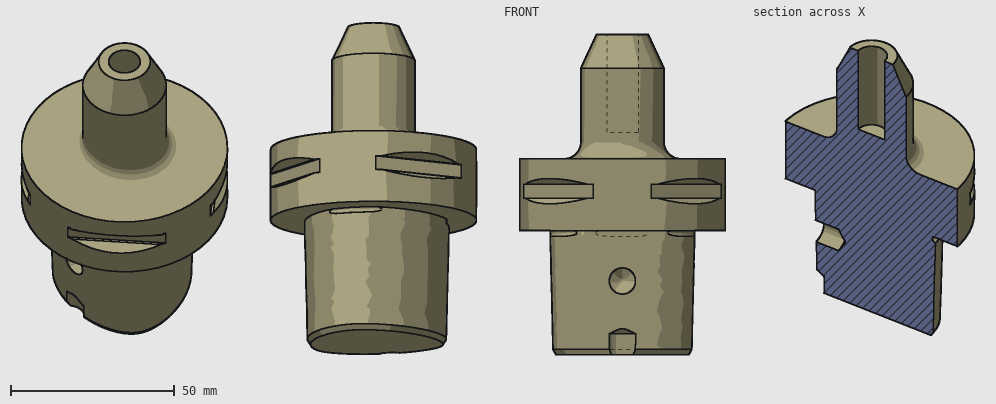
import cadquery as cq
import math

flange_diameter = 63.0
flange_height = 22.0
flange_radius = flange_diameter / 2

nose_diameter = 25.5
nose_length = 38.0
nose_tip_diameter = 15.8
nose_cone_length = 10.4
nose_root_radius = 5.0
bore_diameter = 9.6
bore_depth = 30.0

groove_count = 4
groove_first_angle = 45.0
groove_floor_distance = 27.65
groove_floor_width = 4.2
groove_straight_depth = 0.8
groove_center_height = 12.05
groove_wall_angle = 30.0
groove_overshoot = 5.0

shank_length = 38.0
shank_mean_radius = 22.1
lobe_height = 1.42
lobe_count = 3
neck_length = 3.0
taper_per_side = 1 / 40
end_chamfer_height = 1.7
end_chamfer_width = 1.0

relief_arc_radius = 1.1
relief_arc_depth = 0.65
relief_floor_radius = 22.3
relief_clearance = 0.5
relief_outer_radius = shank_mean_radius + lobe_height + relief_clearance

drill_tip_angle = 118.0
side_hole_radius = 4.0
side_hole_height = -15.4
side_hole_tip_start_distance = 12.0
key_slot_radius = 4.65
key_slot_offset = 22.0
key_slot_length = 6.4


def flange_and_nose():
    """Turned upper body: flange, filleted nose and its conical tip."""
    nose_radius = nose_diameter / 2
    top = flange_height + nose_length
    root_sag = nose_root_radius * (1 - math.sqrt(0.5))
    return (
        cq.Workplane("XZ")
        .lineTo(flange_radius, 0)
        .lineTo(flange_radius, flange_height)
        .lineTo(nose_radius + nose_root_radius, flange_height)
        .threePointArc(
            (nose_radius + root_sag, flange_height + root_sag),
            (nose_radius, flange_height + nose_root_radius),
        )
        .lineTo(nose_radius, top - nose_cone_length)
        .lineTo(nose_tip_diameter / 2, top)
        .lineTo(0, top)
        .close()
        .revolve(360, (0, 0), (0, 1))
    )


def polygon_wire(mean_radius, height):
    """Constant-width lobed outline at the given height, starting at the flat facing -Y."""

    def point(t):
        turn = 2 * math.pi * t - math.pi / 2
        phase = lobe_count * (turn - math.pi / 2)
        support = mean_radius + lobe_height * math.cos(phase)
        slope = -lobe_count * lobe_height * math.sin(phase)
        x = support * math.cos(turn) - slope * math.sin(turn)
        y = support * math.sin(turn) + slope * math.cos(turn)
        return cq.Vector(x, y, height)

    sample_count = 48
    samples = [point(i / sample_count) for i in range(sample_count)]
    return cq.Wire.assembleEdges([cq.Edge.makeSpline(samples, periodic=True)])


def shank():
    """Straight neck, tapered polygon and chamfered end, stacked as ruled sections."""
    taper_end = shank_length - end_chamfer_height
    taper_end_radius = shank_mean_radius - (taper_end - neck_length) * taper_per_side
    sections = [
        polygon_wire(shank_mean_radius, 0),
        polygon_wire(shank_mean_radius, -neck_length),
        polygon_wire(taper_end_radius, -taper_end),
        polygon_wire(taper_end_radius - end_chamfer_width, -shank_length),
    ]
    return cq.Workplane(cq.Solid.makeLoft(sections, True))


def lobe_relief():
    """Ring that trims the lobes with a concave arc, ending in a flat ledge."""
    arc_center_radius = relief_floor_radius + relief_arc_radius
    ledge_height = -relief_arc_depth - relief_arc_radius
    top_inset = math.sqrt(relief_arc_radius**2 - relief_arc_depth**2)
    return (
        cq.Workplane("XZ")
        .moveTo(relief_outer_radius, 0)
        .lineTo(arc_center_radius - top_inset, 0)
        .threePointArc(
            (relief_floor_radius, -relief_arc_depth),
            (arc_center_radius, ledge_height),
        )
        .lineTo(relief_outer_radius, ledge_height)
        .close()
        .revolve(360, (0, 0), (0, 1))
    )


def gripper_groove(angle):
    """Straight-sided slot with flared upper and lower walls, cut across the flange rim."""
    outer_distance = flange_radius + groove_overshoot
    flare_distance = groove_floor_distance + groove_straight_depth
    wall_rise = (outer_distance - flare_distance) * math.tan(math.radians(groove_wall_angle))
    half_floor = groove_floor_width / 2
    half_mouth = half_floor + wall_rise
    return (
        cq.Workplane("XZ")
        .polyline(
            [
                (groove_floor_distance, groove_center_height - half_floor),
                (flare_distance, groove_center_height - half_floor),
                (outer_distance, groove_center_height - half_mouth),
                (outer_distance, groove_center_height + half_mouth),
                (flare_distance, groove_center_height + half_floor),
                (groove_floor_distance, groove_center_height + half_floor),
            ]
        )
        .close()
        .extrude(flange_radius, both=True)
        .rotate((0, 0, 0), (0, 0, 1), angle)
    )


def drill(radius, straight_length):
    """Drill-shaped cutter along +Z from the origin, with a conical tip."""
    tip_height = radius / math.tan(math.radians(drill_tip_angle / 2))
    return (
        cq.Workplane("XZ")
        .lineTo(radius, 0)
        .lineTo(radius, straight_length)
        .lineTo(0, straight_length + tip_height)
        .close()
        .revolve(360, (0, 0), (0, 1))
    )


def side_hole():
    """Blind radial hole, entering from -Y."""
    return (
        drill(side_hole_radius, flange_radius - side_hole_tip_start_distance)
        .rotate((0, 0, 0), (1, 0, 0), -90)
        .translate((0, -flange_radius, side_hole_height))
    )


def key_slot():
    """Half-open drilled slot, running up the -Y face from the shank end."""
    return drill(key_slot_radius, key_slot_length).translate((0, -key_slot_offset, -shank_length))


def nose_bore():
    """Flat-bottomed bore in the tip of the nose."""
    return (
        cq.Workplane("XY", origin=(0, 0, flange_height + nose_length - bore_depth))
        .circle(bore_diameter / 2)
        .extrude(bore_depth)
    )


result = flange_and_nose().union(shank().cut(lobe_relief()))
for index in range(groove_count):
    result = result.cut(gripper_groove(groove_first_angle + index * 360 / groove_count))
result = result.cut(side_hole()).cut(key_slot()).cut(nose_bore())